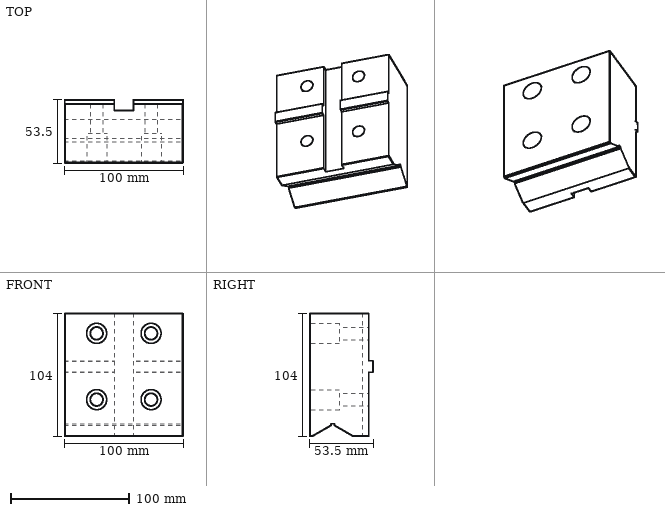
import cadquery as cq
import math

width = 100.0
height = 104
total_depth = 53.5
rib_projection = 3.4
body_depth = total_depth - rib_projection
edge_chamfer = 0.5

rib_height = 10.0
rib_center_z = 59.1

keyway_width = 16.0
keyway_depth = 9.0

vee_center_y = 19.5
vee_half_width = 17.5
vee_angle = 30
relief_width = 2.8
relief_top_z = 10.6

hole_diameter = 10.5
counterbore_diameter = 17.0
counterbore_depth = body_depth / 2
hole_spacing_x = 46.0
hole_spacing_z = 56.0


def make_body():
    block = cq.Workplane("XY").box(width, body_depth, height, centered=(True, False, False))
    return block.edges("not (|Z and >Y)").chamfer(edge_chamfer)


def make_rib():
    overlap = 2 * edge_chamfer
    length_y = rib_projection + overlap
    rib = (
        cq.Workplane("XY")
        .box(width, length_y, rib_height, centered=(True, False, True))
        .translate((0, body_depth - overlap, rib_center_z))
    )
    return rib.faces(">Y").edges("|X").chamfer(edge_chamfer)


def make_keyway():
    return (
        cq.Workplane("XY")
        .box(keyway_width, keyway_depth, height, centered=(True, False, False))
        .translate((0, total_depth - keyway_depth, 0))
    )


def make_vee():
    half_relief = relief_width / 2
    vee_slope_height = (vee_half_width - half_relief) * math.tan(math.radians(vee_angle))
    return (
        cq.Workplane("YZ")
        .moveTo(vee_center_y - vee_half_width, 0)
        .lineTo(vee_center_y - half_relief, vee_slope_height)
        .lineTo(vee_center_y - half_relief, relief_top_z)
        .lineTo(vee_center_y + half_relief, relief_top_z)
        .lineTo(vee_center_y + half_relief, vee_slope_height)
        .lineTo(vee_center_y + vee_half_width, 0)
        .close()
        .extrude(width / 2, both=True)
    )


def drill_holes(part):
    return (
        part.copyWorkplane(cq.Workplane("XZ", origin=(0, 0, rib_center_z)))
        .rarray(hole_spacing_x, hole_spacing_z, 2, 2)
        .cboreHole(hole_diameter, counterbore_diameter, counterbore_depth)
    )


body = make_body().union(make_rib()).cut(make_keyway()).cut(make_vee())
result = drill_holes(body)